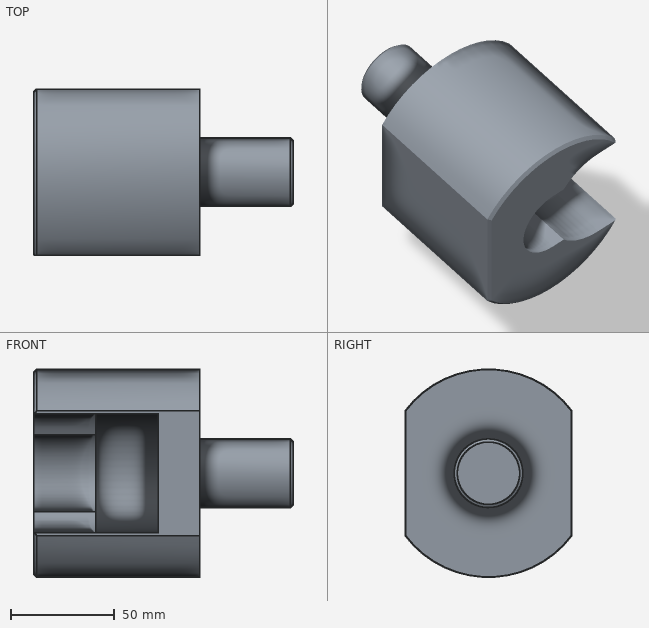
import cadquery as cq

head_length = 80.0
head_diameter = 100.0
head_width = 80.0

shank_length = 45.0
shank_diameter = 33.0
edge_chamfer = 1.5

neck_width = 37.0
neck_depth = 30.0
slot_width = 57.0
slot_depth = 60.0
mouth_offset = slot_width / 2


def make_head():
    """Flatted cylinder; its open end is chamfered on the round and on the +Y flat only."""
    cylinder = cq.Workplane("YZ").circle(head_diameter / 2).extrude(head_length)
    cylinder = cylinder.faces("<X").chamfer(edge_chamfer)
    flats = cq.Workplane("YZ").rect(head_width, head_diameter).extrude(head_length)
    flats = flats.faces("<X").edges(">Y").chamfer(edge_chamfer)
    return cylinder.intersect(flats)


def make_shank():
    """Round shank with a chamfered free end."""
    shank = cq.Workplane("YZ", origin=(head_length, 0, 0)).circle(shank_diameter / 2)
    return shank.extrude(shank_length).faces(">X").chamfer(edge_chamfer)


def round_ended_slot(width, end_y, start_x, end_x):
    """Cutter running out through -Y, with a half-round end centred at Y = end_y."""
    radius = width / 2
    return (
        cq.Workplane("YZ", origin=(start_x, 0, 0))
        .moveTo(-head_width, radius)
        .lineTo(end_y, radius)
        .threePointArc((end_y + radius, 0), (end_y, -radius))
        .lineTo(-head_width, -radius)
        .close()
        .extrude(end_x - start_x)
    )


neck = round_ended_slot(neck_width, 0, 0, neck_depth)
mouth = round_ended_slot(slot_width, -mouth_offset, 0, neck_depth)
inner_slot = round_ended_slot(slot_width, 0, neck_depth, slot_depth)

result = make_head().union(make_shank()).cut(neck).cut(mouth).cut(inner_slot)